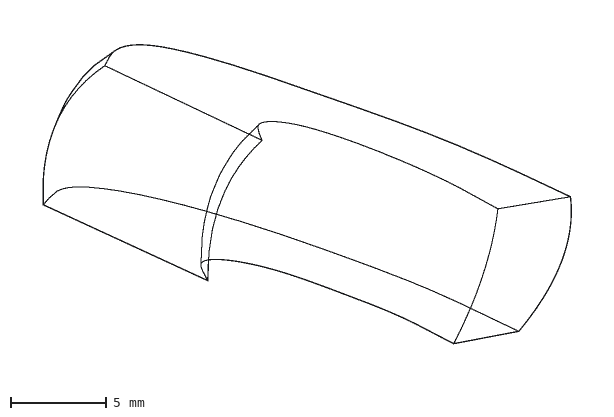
import cadquery as cq

TILT_ANGLE = 22.0

TOP_HEIGHT = 3.91
BOTTOM_HEIGHT = -4.05
BOTTOM_SLOPE_ANGLE = 0.88

CORNER_X = 15.38
CORNER_Y = 0.36
END_REACH = 30.0

OUTER_WALL = [
    [(1.60, 13.95), (-2.35, 10.15), (-4.4, 6.5), (-6.05, 2.05),
     (-6.7, -1.7), (-6.1, -7.1), (-4.2, -10.5), (1.0, -14.05)],
    [(0.05, 15.65), (-3.5, 12.1), (-6.25, 7.65), (-8.05, 3.1),
     (-8.85, -2.3), (-8.2, -7.0), (-5.5, -11.4), (0.35, -14.75)],
    [(1.65, 13.90), (-1.56, 10.45), (-3.7, 7.0), (-5.4, 2.0),
     (-6.65, -3.0), (-6.1, -8.0), (-3.5, -11.05), (1.45, -13.85)],
]
BORE_WALL = [
    [(8.0, 7.8), (5.2, 5.75), (3.33, 2.8), (2.15, -0.3),
     (2.4, -3.1), (4.4, -5.85), (8.0, -6.9)],
    [(7.7, 8.05), (5.0, 6.3), (2.8, 3.6), (1.4, -0.1),
     (1.5, -2.9), (3.7, -6.4), (7.5, -7.6)],
    [(8.9, 7.0), (6.0, 5.1), (4.0, 2.75), (2.6, -0.5),
     (2.5, -2.4), (4.49, -5.66), (8.35, -7.0)],
]
WALL_OVERRUN = 0.3


def point_beyond(end, neighbour):
    """Point that carries the span from neighbour to end on past the end."""
    return (
        end[0] + WALL_OVERRUN * (end[0] - neighbour[0]),
        end[1] + WALL_OVERRUN * (end[1] - neighbour[1]),
    )


def level_wire(outline, height, slope_angle):
    """Closed wire: the wall curve, closed by straight lines on the open side."""
    start = point_beyond(outline[0], outline[1])
    end = point_beyond(outline[-1], outline[-2])
    outline_wire = (
        cq.Workplane("XY", origin=(0, 0, height))
        .transformed(rotate=(slope_angle, 0, 0))
        .moveTo(*start)
        .spline(outline + [end], includeCurrent=True)
        .lineTo(CORNER_X, end[1])
        .lineTo(CORNER_X, start[1])
        .close()
    )
    return outline_wire.val()


def wall_solid(wall):
    """Smooth loft through the bottom, middle and top outlines of a wall."""
    bottom, middle, top = wall
    wires = [
        level_wire(bottom, BOTTOM_HEIGHT, BOTTOM_SLOPE_ANGLE),
        level_wire(middle, 0.0, 0.0),
        level_wire(top, TOP_HEIGHT, 0.0),
    ]
    return cq.Workplane(cq.Solid.makeLoft(wires, False))


def end_wedge():
    """Right-angled wedge whose two sides are the flat ends."""
    return (
        cq.Workplane("XY")
        .moveTo(CORNER_X, CORNER_Y)
        .lineTo(CORNER_X - END_REACH, CORNER_Y + END_REACH)
        .lineTo(CORNER_X - END_REACH, CORNER_Y - END_REACH)
        .close()
        .extrude(END_REACH, both=True)
    )


segment = wall_solid(OUTER_WALL).cut(wall_solid(BORE_WALL)).intersect(end_wedge())
result = segment.rotate((0, 0, 0), (1, 0, 0), -TILT_ANGLE)